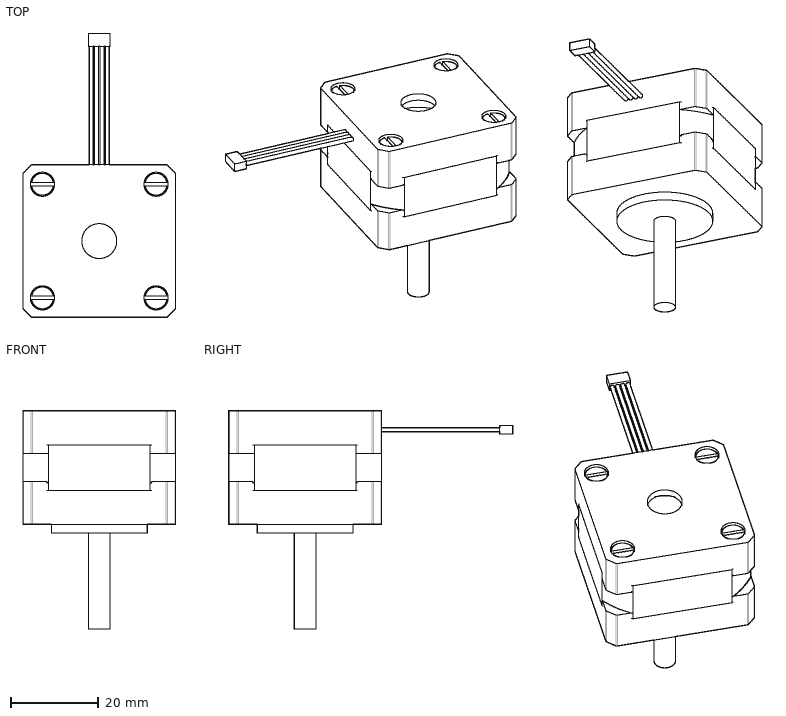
import cadquery as cq

BODY_SIDE = 35.0
BODY_HEIGHT = 26.0
CORNER_CHAMFER = 2.0
CORNER_ROUND = 0.45

STATOR_HEIGHT = 10.4
STATOR_DIAMETER = 42.0
SEAT_BEVEL = 0.25
CAP_GAP = 6.5
CAP_HEIGHT = (BODY_HEIGHT - CAP_GAP) / 2
STATOR_BOTTOM = (BODY_HEIGHT - STATOR_HEIGHT) / 2
STATOR_TOP = STATOR_BOTTOM + STATOR_HEIGHT

CENTRE_HOLE_DIAMETER = 8.0
CENTRE_PLATE_THICKNESS = 1.7
CAVITY_DIAMETER = 17.0
CAVITY_FLOOR_DEPTH = 6.2
CAVITY_FLOOR = BODY_HEIGHT - CAVITY_FLOOR_DEPTH

BOSS_DIAMETER = 22.0
BOSS_HEIGHT = 2.0
SHAFT_DIAMETER = 5.0
SHAFT_PROJECTION = 22.0
SHAFT_TIP = -(BOSS_HEIGHT + SHAFT_PROJECTION)

SCREW_SPACING = 26.0
SCREW_HEAD_DIAMETER = 5.5
SCREW_HEAD_CHAMFER = 0.25
SCREW_HEAD_HEIGHT = 2.0
SCREW_SINK = 0.5
COUNTERBORE_DEPTH = SCREW_SINK + SCREW_HEAD_HEIGHT
SLOT_WIDTH = 0.8
SLOT_DEPTH = 1.0

WIRE_COUNT = 4
WIRE_DIAMETER = 1.0
WIRE_PITCH = 1.25
WIRE_LENGTH = 27.05
PLUG_WIDTH = 5.0
PLUG_LENGTH = 3.0
PLUG_HEIGHT = 2.0
CABLE_DEPTH = 4.35
CABLE_Z = BODY_HEIGHT - CABLE_DEPTH


def cylinder(diameter, bottom, top):
    """Upright cylinder on the Z axis."""
    return cq.Workplane("XY").workplane(offset=bottom).circle(diameter / 2).extrude(top - bottom)


def cap_blank(bottom):
    """Square cap with bevelled corners whose bevel edges are softened."""
    block = cq.Workplane("XY").workplane(offset=bottom).rect(BODY_SIDE, BODY_SIDE).extrude(CAP_HEIGHT)
    return block.edges("|Z").chamfer(CORNER_CHAMFER).edges("|Z").fillet(CORNER_ROUND)


def make_stator():
    """Block with flat sides flush with the caps and corners that follow one circle."""
    base = cq.Workplane("XY").workplane(offset=STATOR_BOTTOM)
    block = base.rect(BODY_SIDE, BODY_SIDE).extrude(STATOR_HEIGHT)
    return block.intersect(cylinder(STATOR_DIAMETER, STATOR_BOTTOM, STATOR_TOP))


def screw_centres(height):
    """Workplane at the given height with one point on each screw axis."""
    plane = cq.Workplane("XY").workplane(offset=height)
    return plane.rect(SCREW_SPACING, SCREW_SPACING, forConstruction=True).vertices()


def make_upper_cap(stator):
    cap = cap_blank(BODY_HEIGHT - CAP_HEIGHT).cut(stator)
    centre_hole = cylinder(CENTRE_HOLE_DIAMETER, CAVITY_FLOOR, BODY_HEIGHT)
    cavity = cylinder(CAVITY_DIAMETER, CAVITY_FLOOR, BODY_HEIGHT - CENTRE_PLATE_THICKNESS)
    counterbores = screw_centres(BODY_HEIGHT).circle(SCREW_HEAD_DIAMETER / 2).extrude(-COUNTERBORE_DEPTH)
    return cap.cut(centre_hole).cut(cavity).cut(counterbores)


def make_shaft():
    return cylinder(SHAFT_DIAMETER, SHAFT_TIP, STATOR_BOTTOM)


def seat_bevel():
    """Cone that bevels the round corners of the stator seat at the top of the lower cap."""
    seat_radius = STATOR_DIAMETER / 2
    small_end = cq.Workplane("XY").workplane(offset=CAP_HEIGHT - SEAT_BEVEL).circle(seat_radius)
    return small_end.workplane(offset=SEAT_BEVEL).circle(seat_radius + SEAT_BEVEL).loft()


def make_lower_cap(stator, shaft):
    boss = cylinder(BOSS_DIAMETER, -BOSS_HEIGHT, 0)
    cap = cap_blank(0).union(boss).cut(stator).cut(shaft)
    return cap.cut(seat_bevel())


def make_screw(x, y):
    """Slotted screw head that fills its counterbore up to a small sink below the cap face."""
    head_top = BODY_HEIGHT - SCREW_SINK
    head = cylinder(SCREW_HEAD_DIAMETER, head_top - SCREW_HEAD_HEIGHT, head_top)
    head = head.faces(">Z").chamfer(SCREW_HEAD_CHAMFER)
    top_plane = cq.Workplane("XY").workplane(offset=head_top)
    slot = top_plane.rect(SCREW_HEAD_DIAMETER, SLOT_WIDTH).extrude(-SLOT_DEPTH)
    return head.cut(slot).translate((x, y, 0))


def make_cable():
    """Plug with its wires, which start at the back face of the upper cap."""
    wire_start = BODY_SIDE / 2
    plug_start = wire_start + WIRE_LENGTH
    plug = cq.Workplane("XY").box(PLUG_WIDTH, PLUG_LENGTH, PLUG_HEIGHT, centered=(True, False, True))
    cable = plug.translate((0, plug_start, CABLE_Z))
    for index in range(WIRE_COUNT):
        x = (index - (WIRE_COUNT - 1) / 2) * WIRE_PITCH
        wire = cq.Workplane("XZ").circle(WIRE_DIAMETER / 2).extrude(-WIRE_LENGTH)
        cable = cable.union(wire.translate((x, wire_start, CABLE_Z)))
    return cable


stator = make_stator()
shaft = make_shaft()
upper_cap = make_upper_cap(stator)
lower_cap = make_lower_cap(stator, shaft)
cable = make_cable()

screws = []
for side_x in (-1, 1):
    for side_y in (-1, 1):
        screws.append(make_screw(side_x * SCREW_SPACING / 2, side_y * SCREW_SPACING / 2))

result = cq.Compound.makeCompound([
    stator.val(),
    shaft.val(),
    upper_cap.val(),
    lower_cap.val(),
    cable.val(),
    *[screw.val() for screw in screws],
])